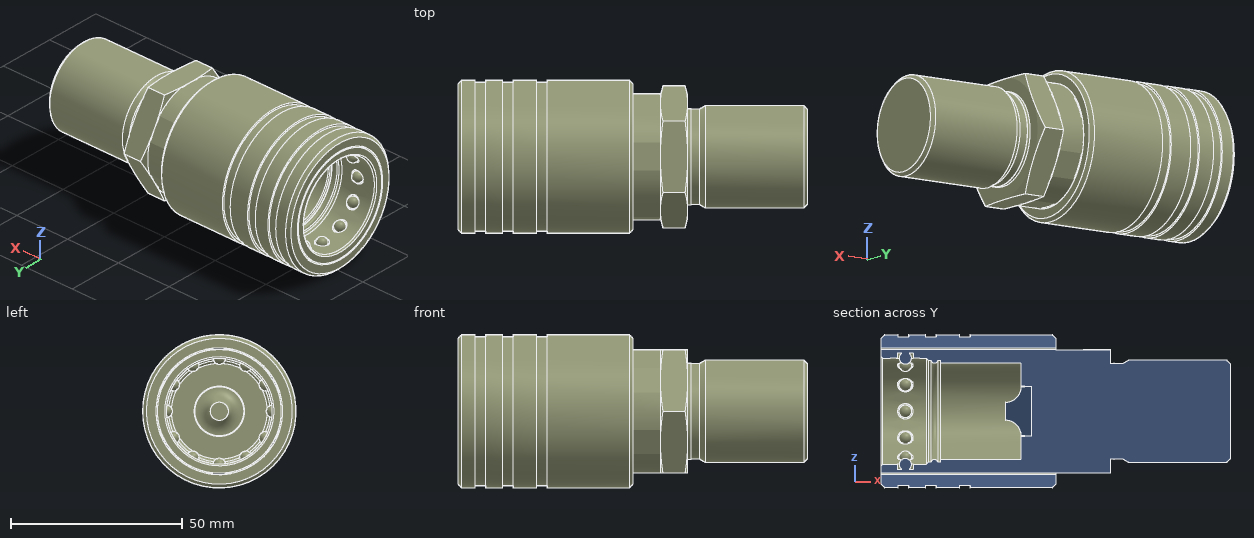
import cadquery as cq
import math


LENGTH = 102.0

SLEEVE_DIAMETER = 44.8
SLEEVE_RADIUS = SLEEVE_DIAMETER / 2
SLEEVE_LENGTH = 51.1
SLEEVE_CHAMFER = 1.1
GRIP_GROOVE_STARTS = (5.0, 13.1, 23.0)
GRIP_GROOVE_WIDTH = 3.1
GRIP_GROOVE_DEPTH = 0.6

BARREL_RADIUS = 18.1
HEX_FLATS = 36.0
HEX_START = 59.1
HEX_END = 67.0
HEX_CHAMFER_ANGLE = 15.0
COLLAR_RADIUS = 18.5
SLEEVE_BORE_RADIUS = COLLAR_RADIUS
SHOULDER_RADIUS = 14.1
SHOULDER_END = 67.9
NECK_RADIUS = 14.0
NECK_END = 70.5
TAIL_RADIUS = 15.0
TAIL_START = 72.2
TAIL_CHAMFER = 1.1

SOCKET_RADIUS = 15.4
SOCKET_DEPTH = 13.3
MOUTH_CHAMFER = 0.5
LAND_RADIUS = 14.8
LAND_START = 13.9
LAND_END = 17.3
SEAL_START = 14.6
SEAL_WIDTH = 2.0
SEAL_END = SEAL_START + SEAL_WIDTH
SEAL_ROOT_RADIUS = 16.3
SEAL_INNER_RADIUS = 14.0
BORE_RADIUS = 14.0
BORE_DEPTH = 40.8

BALL_COUNT = 12
BALL_RADIUS = 1.8
BALL_CENTRE_RADIUS = 15.5
BALL_X = 7.1
BALL_POCKET_RADIUS = 2.2
BALL_POCKET_FLOOR = 16.9

VALVE_RADIUS = 7.1
VALVE_TIP_RADIUS = 2.7
VALVE_THICKNESS = 3.1
VALVE_GAP = 0.2
VALVE_GAP_DEPTH = 1.0


def cylinder(radius, start, end):
    """Solid cylinder on the X axis."""
    return cq.Workplane("YZ", origin=(start, 0, 0)).circle(radius).extrude(end - start)


def hexagon(start, end):
    """Hexagonal bar on the X axis with two flats facing +Z and -Z."""
    corner_diameter = HEX_FLATS / math.cos(math.pi / 6)
    return cq.Workplane("YZ", origin=(start, 0, 0)).polygon(6, corner_diameter).extrude(end - start)


def revolve_x(outline):
    """Close an outline of (x, radius) points and turn it about the X axis."""
    return outline.close().revolve(360, (0, 0, 0), (1, 0, 0))


def make_sleeve():
    sleeve = cylinder(SLEEVE_RADIUS, 0, SLEEVE_LENGTH).edges().chamfer(SLEEVE_CHAMFER)
    for start in GRIP_GROOVE_STARTS:
        groove = (
            cq.Workplane("YZ", origin=(start, 0, 0))
            .circle(SLEEVE_RADIUS)
            .circle(SLEEVE_RADIUS - GRIP_GROOVE_DEPTH)
            .extrude(GRIP_GROOVE_WIDTH)
        )
        sleeve = sleeve.cut(groove)
    return sleeve.cut(cylinder(SLEEVE_BORE_RADIUS, 0, SLEEVE_LENGTH))


def make_hex():
    """Wrench hexagon with its corners coned off at both ends."""
    flat_radius = HEX_FLATS / 2
    corner_radius = HEX_FLATS / math.sqrt(3)
    cone_length = (corner_radius - flat_radius) * math.tan(math.radians(HEX_CHAMFER_ANGLE))
    envelope = revolve_x(
        cq.Workplane("XY")
        .moveTo(HEX_START, 0)
        .lineTo(HEX_START, flat_radius)
        .lineTo(HEX_START + cone_length, corner_radius)
        .lineTo(HEX_END - cone_length, corner_radius)
        .lineTo(HEX_END, flat_radius)
        .lineTo(HEX_END, 0)
    )
    return hexagon(HEX_START, HEX_END).intersect(envelope)


def make_tail():
    """Shoulder, neck and round end piece behind the hexagon."""
    return revolve_x(
        cq.Workplane("XY")
        .moveTo(HEX_END, 0)
        .lineTo(HEX_END, SHOULDER_RADIUS)
        .lineTo(SHOULDER_END, SHOULDER_RADIUS)
        .lineTo(SHOULDER_END, NECK_RADIUS)
        .lineTo(NECK_END, NECK_RADIUS)
        .lineTo(TAIL_START, TAIL_RADIUS)
        .lineTo(LENGTH - TAIL_CHAMFER, TAIL_RADIUS)
        .lineTo(LENGTH, TAIL_RADIUS - TAIL_CHAMFER)
        .lineTo(LENGTH, 0)
    )


def make_cavity():
    """Space inside the body, from the mouth to the bore floor."""
    return revolve_x(
        cq.Workplane("XY")
        .moveTo(0, 0)
        .lineTo(0, SOCKET_RADIUS + MOUTH_CHAMFER)
        .lineTo(MOUTH_CHAMFER, SOCKET_RADIUS)
        .lineTo(SOCKET_DEPTH, SOCKET_RADIUS)
        .lineTo(LAND_START, LAND_RADIUS)
        .lineTo(LAND_END, LAND_RADIUS)
        .lineTo(LAND_END, BORE_RADIUS)
        .lineTo(BORE_DEPTH, BORE_RADIUS)
        .lineTo(BORE_DEPTH, 0)
    )


def make_seal_ridge():
    """Round-nosed ring standing inward from the land."""
    nose_radius = SEAL_WIDTH / 2
    nose_x = SEAL_START + nose_radius
    nose_base = SEAL_INNER_RADIUS + nose_radius
    return revolve_x(
        cq.Workplane("XY")
        .moveTo(SEAL_START, SEAL_ROOT_RADIUS)
        .lineTo(SEAL_START, nose_base)
        .threePointArc((nose_x, SEAL_INNER_RADIUS), (SEAL_END, nose_base))
        .lineTo(SEAL_END, SEAL_ROOT_RADIUS)
    )


def make_ball_pocket(angle):
    pocket = cq.Workplane("XY", origin=(BALL_X, 0, 0)).circle(BALL_POCKET_RADIUS).extrude(BALL_POCKET_FLOOR)
    return pocket.rotate((0, 0, 0), (1, 0, 0), angle)


def make_ball(angle):
    ball = cq.Workplane("YZ", origin=(BALL_X, 0, BALL_CENTRE_RADIUS)).sphere(BALL_RADIUS)
    return ball.rotate((0, 0, 0), (1, 0, 0), angle)


def make_valve_seat():
    """Recess that holds the valve disc, with a narrow gap around its front."""
    seat = cylinder(VALVE_RADIUS, BORE_DEPTH, BORE_DEPTH + VALVE_THICKNESS)
    return seat.union(cylinder(VALVE_RADIUS + VALVE_GAP, BORE_DEPTH, BORE_DEPTH + VALVE_GAP_DEPTH))


def make_body():
    barrel = cylinder(BARREL_RADIUS, 0, SLEEVE_LENGTH)
    collar = cylinder(COLLAR_RADIUS, SLEEVE_LENGTH, HEX_START).intersect(hexagon(SLEEVE_LENGTH, HEX_START))
    body = barrel.union(collar).union(make_hex()).union(make_tail())
    body = body.cut(make_cavity()).union(make_seal_ridge()).cut(make_valve_seat())
    for i in range(BALL_COUNT):
        angle = 360 / BALL_COUNT * i
        body = body.cut(make_ball_pocket(angle)).union(make_ball(angle))
    return body


def make_valve():
    """Disc whose front flares in a concave quarter arc up to a flat tip."""
    flare = VALVE_RADIUS - VALVE_TIP_RADIUS
    tip_x = BORE_DEPTH - flare
    arc_inset = flare * (1 - math.sqrt(0.5))
    back_x = BORE_DEPTH + VALVE_THICKNESS
    return revolve_x(
        cq.Workplane("XY")
        .moveTo(tip_x, 0)
        .lineTo(tip_x, VALVE_TIP_RADIUS)
        .threePointArc(
            (BORE_DEPTH - arc_inset, VALVE_TIP_RADIUS + arc_inset),
            (BORE_DEPTH, VALVE_RADIUS),
        )
        .lineTo(back_x, VALVE_RADIUS)
        .lineTo(back_x, 0)
    )


sleeve = make_sleeve()
body = make_body()
valve = make_valve()

result = cq.Compound.makeCompound([sleeve.val(), body.val(), valve.val()])